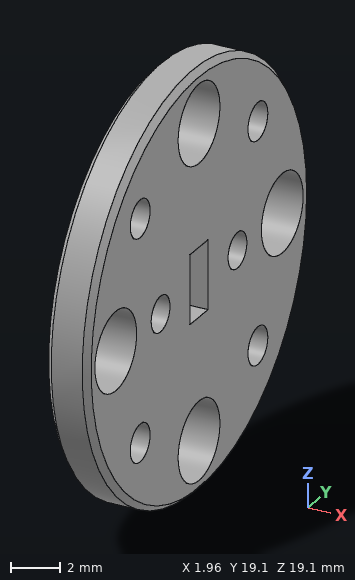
import cadquery as cq
import math

disc_diameter = 19.05
disc_thickness = 1.96
rim_chamfer = 0.27

bolt_circle_diameter = 14.29
screw_hole_diameter = 3.58
dowel_hole_diameter = 1.70
holes_per_circle = 4
dowel_start_angle = 45

inner_hole_offset = 3.30
inner_hole_diameter = 1.61

window_width = 1.55
window_height = 3.15


def back_face_plane():
    """YZ workplane on the -X face of the plate, which is centred on X = 0."""
    return cq.Workplane("YZ", origin=(-disc_thickness / 2, 0, 0))


def chamfered_disc():
    """Round plate with both rims chamfered."""
    disc = back_face_plane().circle(disc_diameter / 2).extrude(disc_thickness)
    return disc.edges("%CIRCLE").chamfer(rim_chamfer)


def points_on_bolt_circle(start_angle):
    """Evenly spaced (Y, Z) points on the bolt circle."""
    radius = bolt_circle_diameter / 2
    step = 360 / holes_per_circle
    angles = [math.radians(start_angle + step * i) for i in range(holes_per_circle)]
    return [(radius * math.cos(angle), radius * math.sin(angle)) for angle in angles]


def drill_through(body, points, diameter):
    """Cut through holes along X at the given (Y, Z) points."""
    drills = back_face_plane().pushPoints(points).circle(diameter / 2).extrude(disc_thickness)
    return body.cut(drills)


def cut_window(body):
    """Cut the central rectangular opening through the plate."""
    window = back_face_plane().rect(window_width, window_height).extrude(disc_thickness)
    return body.cut(window)


inner_hole_points = [(-inner_hole_offset, 0), (inner_hole_offset, 0)]

result = chamfered_disc()
result = drill_through(result, points_on_bolt_circle(0), screw_hole_diameter)
result = drill_through(result, points_on_bolt_circle(dowel_start_angle), dowel_hole_diameter)
result = drill_through(result, inner_hole_points, inner_hole_diameter)
result = cut_window(result)